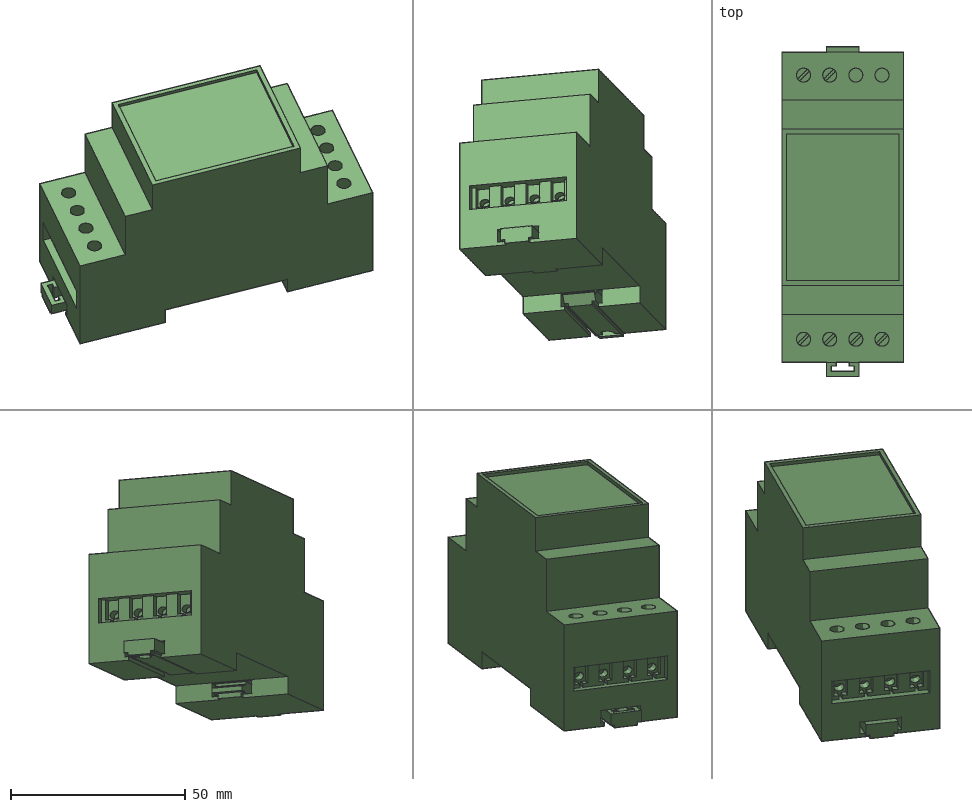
import cadquery as cq

WIDTH = 35.0
BASE_LENGTH = 89.0
SHOULDER_LENGTH = 61.5
TOP_LENGTH = 45.0
BASE_HEIGHT = 32.0
SHOULDER_HEIGHT = 47.7
TOP_HEIGHT = 57.79
FACE = BASE_LENGTH / 2

LABEL_WIDTH = 32.4
LABEL_LENGTH = 42.0
LABEL_DEPTH = 1.0

RAIL_WIDTH = 37.1
RAIL_DEPTH = 5.13
RAIL_WALL = RAIL_WIDTH / 2
CHANNEL_WIDTH = 12.35
CHANNEL_HEIGHT = 4.83
FLANGE_THICKNESS = 1.1
FRONT_FLANGE_GAP = 10.1

LATCH_WIDTH = 9.45
LATCH_FOOT_WIDTH = 7.1
REAR_FLANGE_GAP = LATCH_FOOT_WIDTH

HOOK_OVERHANG = 1.55
HOOK_TOP = 4.53
HOOK_NOSE_Y = 17.7
HOOK_FOOT_Y = 16.8
HOOK_TIP_Y = 15.1
HOOK_TIP_FLAT = 0.7
HOOK_TIP_TOP = 2.9
HOOK_TIP_BOTTOM = 1.45
HOOK_SHOULDER = 3.74

LATCH_BOTTOM = 0.53
LATCH_STEP = 1.39
LATCH_OVERHANG = 4.15
LATCH_NOSE_Y = -17.7
LATCH_TIP_Y = -15.7
LATCH_TIP_TOP = 3.95
LATCH_TIP_BOTTOM = 3.65
WINDOW_WIDTH = 6.55
WINDOW_INNER = 1.13
WINDOW_OUTER = 2.57
SLOT_WIDTH = 3.7

TERMINAL_PITCH = 7.5
TERMINAL_COUNT = 4
TERMINAL_X = [(i - (TERMINAL_COUNT - 1) / 2) * TERMINAL_PITCH for i in range(TERMINAL_COUNT)]
SCREW_Y = 37.9
SCREW_DIAMETER = 4.0
SCREW_HOLE_DEPTH = 6.0
SCREW_SLOT_WIDTH = 0.8
SCREW_SLOT_DEPTH = 0.8
SCREW_SLOT_ANGLE = 45

POCKET_WIDTH = 29.0
POCKET_BOTTOM = 11.7
POCKET_TOP = 18.8
POCKET_DEPTH = 2.3
CAGE_WIDTH = 4.0
CAGE_BOTTOM = 12.85
CAGE_DEPTH = 2.0
KEYWAY_WIDTH = 1.0
WIRE_HOLE_WIDTH = 2.9
WIRE_HOLE_HEIGHT = 2.3
WIRE_HOLE_Z = 14.55
WIRE_HOLE_DEPTH = 3.0


def block(x_size, y_start, y_end, z_start, z_end, x_center=0.0):
    """Box centred on x_center, given by its Y and Z limits."""
    box = cq.Workplane("XY").box(x_size, y_end - y_start, z_end - z_start, centered=(True, False, False))
    return box.translate((x_center, y_start, z_start))


def side_extrusion(points, width):
    """Closed (y, z) outline extruded symmetrically about X = 0."""
    return cq.Workplane("YZ").polyline(points).close().extrude(width / 2, both=True)


def housing_shell():
    base = block(WIDTH, -FACE, FACE, 0, BASE_HEIGHT)
    shoulder = block(WIDTH, -SHOULDER_LENGTH / 2, SHOULDER_LENGTH / 2, BASE_HEIGHT, SHOULDER_HEIGHT)
    top = block(WIDTH, -TOP_LENGTH / 2, TOP_LENGTH / 2, SHOULDER_HEIGHT, TOP_HEIGHT)
    label = block(LABEL_WIDTH, -LABEL_LENGTH / 2, LABEL_LENGTH / 2, TOP_HEIGHT - LABEL_DEPTH, TOP_HEIGHT)
    rail = block(WIDTH, -RAIL_WALL, RAIL_WALL, 0, RAIL_DEPTH)
    return base.union(shoulder).union(top).cut(label).cut(rail)


def latch_channels():
    """T-shaped channels through the feet, above their bottom ledges."""
    upper = block(CHANNEL_WIDTH, -FACE, FACE, FLANGE_THICKNESS, CHANNEL_HEIGHT)
    front_gap = block(FRONT_FLANGE_GAP, -FACE, -RAIL_WALL, 0, FLANGE_THICKNESS)
    rear_gap = block(REAR_FLANGE_GAP, RAIL_WALL, FACE, 0, FLANGE_THICKNESS)
    return upper.union(front_gap).union(rear_gap)


def fixed_hook():
    """Rail hook at the +Y end, resting on the ledges of its channel."""
    outer = FACE + HOOK_OVERHANG
    body = side_extrusion(
        [
            (outer, FLANGE_THICKNESS),
            (outer, HOOK_TOP),
            (HOOK_NOSE_Y, HOOK_TOP),
            (HOOK_NOSE_Y, HOOK_SHOULDER),
            (HOOK_TIP_Y + HOOK_TIP_FLAT, HOOK_TIP_TOP),
            (HOOK_TIP_Y, HOOK_TIP_TOP),
            (HOOK_TIP_Y, HOOK_TIP_BOTTOM),
            (HOOK_FOOT_Y, HOOK_TIP_BOTTOM),
            (HOOK_FOOT_Y, FLANGE_THICKNESS),
        ],
        LATCH_WIDTH,
    )
    foot = block(LATCH_FOOT_WIDTH, HOOK_FOOT_Y, outer, 0, FLANGE_THICKNESS)
    return body.union(foot)


def screw_hole(x, y, slotted):
    """Blind screw access hole, ending in a slotted screw head if slotted."""
    floor = BASE_HEIGHT - SCREW_HOLE_DEPTH
    hole = cq.Workplane("XY").circle(SCREW_DIAMETER / 2).extrude(SCREW_HOLE_DEPTH)
    if slotted:
        head = cq.Workplane("XY").circle(SCREW_DIAMETER / 2).extrude(-SCREW_SLOT_DEPTH)
        slot = block(SCREW_DIAMETER, -SCREW_SLOT_WIDTH / 2, SCREW_SLOT_WIDTH / 2, -SCREW_SLOT_DEPTH, 0)
        slot = slot.rotate((0, 0, 0), (0, 0, 1), SCREW_SLOT_ANGLE)
        hole = hole.union(slot.intersect(head))
    return hole.translate((x, y, floor))


def terminal_pocket():
    """Wire entry pocket of the -Y face with a cage and a wire hole per terminal."""
    pocket_floor = -FACE + POCKET_DEPTH
    cage_floor = pocket_floor + CAGE_DEPTH
    pocket = block(POCKET_WIDTH, -FACE, pocket_floor, POCKET_BOTTOM, POCKET_TOP)
    for x in TERMINAL_X:
        cage = block(CAGE_WIDTH, pocket_floor, cage_floor, CAGE_BOTTOM, POCKET_TOP, x)
        keyway = block(KEYWAY_WIDTH, pocket_floor, cage_floor, POCKET_BOTTOM, CAGE_BOTTOM, x)
        wire_hole = (
            cq.Workplane("XZ", origin=(x, cage_floor, WIRE_HOLE_Z))
            .ellipse(WIRE_HOLE_WIDTH / 2, WIRE_HOLE_HEIGHT / 2)
            .extrude(-WIRE_HOLE_DEPTH)
        )
        pocket = pocket.union(cage).union(keyway).union(wire_hole)
    return pocket


def build_housing():
    body = housing_shell().cut(latch_channels()).union(fixed_hook())
    for x in TERMINAL_X:
        body = body.cut(screw_hole(x, -SCREW_Y, slotted=True))
        body = body.cut(screw_hole(x, SCREW_Y, slotted=x < 0))
    pocket = terminal_pocket()
    return body.cut(pocket).cut(pocket.mirror("XZ"))


def build_latch():
    """Sliding rail latch with a pull tab, hanging from the channel ceiling."""
    tab_end = -FACE - LATCH_OVERHANG
    tip_slope = (LATCH_TIP_Y - LATCH_NOSE_Y) / (LATCH_TIP_BOTTOM - LATCH_BOTTOM)
    step_y = LATCH_NOSE_Y + tip_slope * (LATCH_STEP - LATCH_BOTTOM)
    body = side_extrusion(
        [
            (tab_end, LATCH_STEP),
            (tab_end, CHANNEL_HEIGHT),
            (LATCH_NOSE_Y, CHANNEL_HEIGHT),
            (LATCH_NOSE_Y, LATCH_TIP_TOP),
            (LATCH_TIP_Y, LATCH_TIP_TOP),
            (LATCH_TIP_Y, LATCH_TIP_BOTTOM),
            (step_y, LATCH_STEP),
        ],
        LATCH_WIDTH,
    )
    foot = side_extrusion(
        [
            (tab_end, LATCH_BOTTOM),
            (tab_end, LATCH_STEP),
            (step_y, LATCH_STEP),
            (LATCH_NOSE_Y, LATCH_BOTTOM),
        ],
        LATCH_FOOT_WIDTH,
    )
    window = block(WINDOW_WIDTH, -FACE - WINDOW_OUTER, -FACE - WINDOW_INNER, LATCH_BOTTOM, CHANNEL_HEIGHT)
    slot = block(SLOT_WIDTH, -FACE - WINDOW_INNER, -FACE, LATCH_BOTTOM, CHANNEL_HEIGHT)
    slot_end = (
        cq.Workplane("XY", origin=(0, -FACE, LATCH_BOTTOM))
        .circle(SLOT_WIDTH / 2)
        .extrude(CHANNEL_HEIGHT - LATCH_BOTTOM)
    )
    return body.union(foot).cut(window).cut(slot).cut(slot_end)


housing = build_housing()
latch = build_latch()

result = cq.Compound.makeCompound([housing.val(), latch.val()])